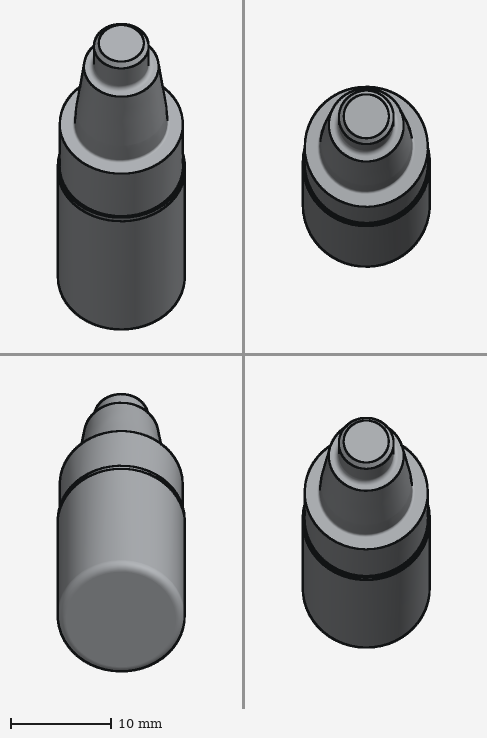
import cadquery as cq

total_height = 40.6
barrel_radius = 12.7 / 2

barrel_height = 19.05
bottom_fillet = 0.85

flange_height = 0.6
collar_radius = 12.3 / 2
collar_top = 26.88
neck_base_radius = 4.63
neck_base_fillet = 0.25
taper_start_radius = 4.5
taper_start_height = 29.3
taper_end_radius = 3.75
taper_end_height = 36.65
tip_radius = 5.5 / 2
tip_base_fillet = 0.5
tip_chamfer = 0.5

flange_top = barrel_height + flange_height


def make_barrel():
    """Solid cylinder standing on Z = 0, rounded around its lower rim."""
    cylinder = cq.Workplane("XY").circle(barrel_radius).extrude(barrel_height)
    return cylinder.faces("<Z").edges().fillet(bottom_fillet)


def make_cap():
    """Revolve the stepped half profile (radius, height) about Z."""
    neck_foot = (neck_base_radius, collar_top + neck_base_fillet)
    tip_foot = (tip_radius, taper_end_height + tip_base_fillet)
    profile = (
        cq.Workplane("XZ")
        .moveTo(0, barrel_height)
        .lineTo(barrel_radius, barrel_height)
        .lineTo(barrel_radius, flange_top)
        .lineTo(collar_radius, flange_top)
        .lineTo(collar_radius, collar_top)
        .lineTo(neck_base_radius + neck_base_fillet, collar_top)
        .radiusArc(neck_foot, neck_base_fillet)
        .tangentArcPoint((taper_start_radius, taper_start_height), relative=False)
        .lineTo(taper_end_radius, taper_end_height)
        .lineTo(tip_radius + tip_base_fillet, taper_end_height)
        .radiusArc(tip_foot, tip_base_fillet)
        .lineTo(tip_radius, total_height - tip_chamfer)
        .lineTo(tip_radius - tip_chamfer, total_height)
        .lineTo(0, total_height)
        .close()
    )
    return profile.revolve(360, (0, 0, 0), (0, 1, 0))


barrel = make_barrel()
cap = make_cap()

result = cq.Compound.makeCompound([barrel.val(), cap.val()])